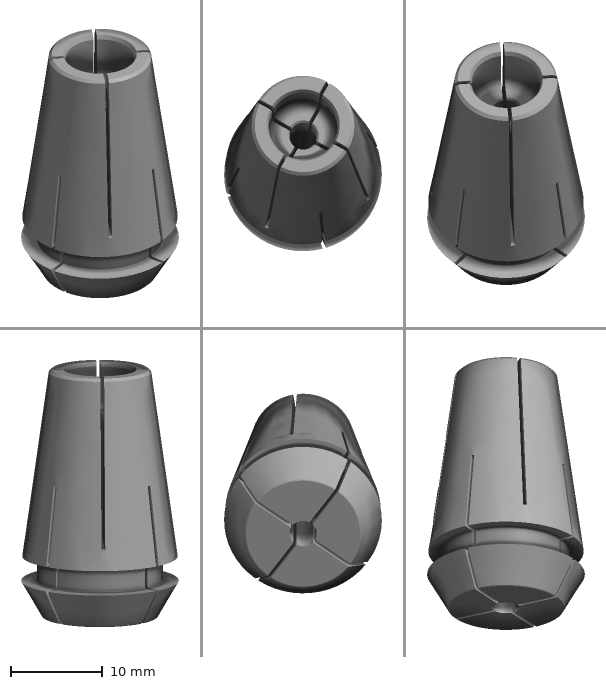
import cadquery as cq
import math


total_height = 27.5
collar_top = 4.0
groove_top = 6.68
upper_slot_floor = 8.95
lower_slot_top = 15.48

collar_radius = 8.62
groove_radius = 6.88
body_radius = 8.5
nose_angle = 30.0
body_angle = 8.0

through_radius = 3.0 / 2
counterbore_radius = 3.77
counterbore_floor = 22.45
floor_fillet = 0.8

rim_chamfer = 0.3
nose_chamfer = 0.08
groove_fillet = 0.16
bore_chamfer = 0.22
mouth_chamfer_width = 0.25
mouth_chamfer_depth = 0.45

slot_width = 0.4
slots_per_end = 4

nose_radius = collar_radius - collar_top * math.tan(math.radians(nose_angle))
rim_radius = body_radius - (total_height - groove_top) * math.tan(math.radians(body_angle))


def outer_body():
    """Nose cone, extraction groove and long clamping taper, turned as one solid."""
    profile = (
        cq.Workplane("XZ")
        .polyline([
            (0, 0),
            (nose_radius, 0),
            (collar_radius, collar_top),
            (groove_radius, collar_top),
            (groove_radius, groove_top),
            (body_radius, groove_top),
            (rim_radius, total_height),
            (0, total_height),
        ])
        .close()
    )
    body = profile.revolve(360, (0, 0, 0), (0, 1, 0))
    body = body.faces(">Z").edges().chamfer(rim_chamfer)
    body = body.faces("<Z").edges().chamfer(nose_chamfer)

    corner_finder = cq.selectors.BoxSelector(
        (-collar_radius, -collar_radius, collar_top - nose_chamfer),
        (collar_radius, collar_radius, groove_top + nose_chamfer),
        boundingbox=True,
    )
    groove_corners = body.edges("%CIRCLE").edges(corner_finder).edges(
        cq.selectors.RadiusNthSelector(0)
    )
    return groove_corners.fillet(groove_fillet)


def bore_cutter():
    """Through bore and filleted counterbore, with countersunk mouths."""
    through = cq.Workplane("XY").circle(through_radius).extrude(total_height)
    counterbore = (
        cq.Workplane("XY", origin=(0, 0, counterbore_floor))
        .circle(counterbore_radius)
        .extrude(total_height - counterbore_floor)
        .faces("<Z").edges().fillet(floor_fillet)
    )
    cutter = through.union(counterbore)
    cutter = cutter.union(countersink(through_radius, counterbore_floor, bore_chamfer, bore_chamfer))
    mouth = countersink(counterbore_radius, total_height, mouth_chamfer_width, mouth_chamfer_depth)
    return cutter.union(mouth)


def countersink(radius, mouth_height, width, depth):
    """Cone that breaks the upper edge of a bore by a given radial width and depth."""
    cone = cq.Solid.makeCone(
        radius, radius + width, depth,
        pnt=cq.Vector(0, 0, mouth_height - depth),
    )
    return cq.Workplane(cone)


def slot_cutter(bottom, top, start_angle):
    """Evenly spaced radial slots between two heights, running out from the axis."""
    cutter = cq.Workplane("XY")
    for index in range(slots_per_end):
        slot = (
            cq.Workplane("XY", origin=(0, 0, bottom))
            .rect(collar_radius + slot_width, slot_width)
            .extrude(top - bottom)
            .translate(((collar_radius + slot_width) / 2, 0, 0))
            .rotate((0, 0, 0), (0, 0, 1), start_angle + index * 360 / slots_per_end)
        )
        cutter = cutter.union(slot)
    return cutter


half_pitch = 180 / slots_per_end
result = (
    outer_body()
    .cut(bore_cutter())
    .cut(slot_cutter(0, lower_slot_top, 0))
    .cut(slot_cutter(upper_slot_floor, total_height, half_pitch))
)